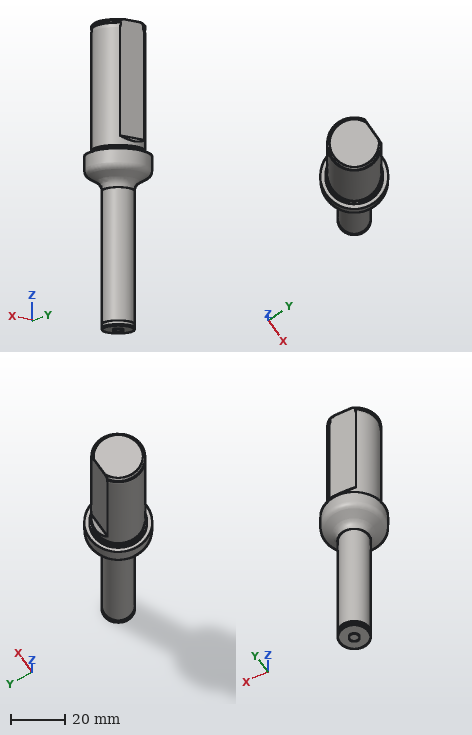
import cadquery as cq
import math

TOTAL_HEIGHT = 116.0
COLLAR_TOP = 66.0
CONE_START = 59.2
HOLDER_BOTTOM = 52.9

SHANK_RADIUS = 20.0 / 2
GROOVE_RADIUS = 19.5 / 2
TOP_FACE_RADIUS = 9.0
TOP_CHAMFER_HEIGHT = 0.8
GROOVE_TOP = 114.4
GROOVE_BOTTOM = 113.7
GROOVE_TAPER_END = 112.6
NECK_TAPER_TOP = 68.0
NECK_TAPER_BOTTOM = 67.3
FLAT_OFFSET = 8.2
FLAT_RUNOUT_BOTTOM = 69.8

COLLAR_RADIUS = 25.0 / 2
CONE_ANGLE = 31.0
COLLAR_ROUND = 2.7
ROOT_ROUND = 3.8
RELIEF_RADIUS = 10.7
RELIEF_DEPTH = 0.2

STEM_RADIUS = 12.2 / 2
SOCKET_TOP = 60.7
LIP_WALL = 0.06
TIP_RADIUS = 12.4 / 2
TIP_FACE_RADIUS = 12.0 / 2
TIP_BAND_TOP = 2.3
TIP_BAND_BOTTOM = 0.9
STEM_END = 0.3
NUB_RADIUS = 4.0 / 2


def turned(points):
    """Revolve a closed (radius, height) outline about the Z axis."""
    return cq.Workplane("XZ").polyline(points).close().revolve(360, (0, 0), (0, 1))


def rounded_at(body, height, radius):
    """Round the circular edge whose whole length lies at one height."""
    slack = 0.01
    box = cq.selectors.BoxSelector(
        (-TOTAL_HEIGHT, -TOTAL_HEIGHT, height - slack),
        (TOTAL_HEIGHT, TOTAL_HEIGHT, height + slack),
        boundingbox=True,
    )
    return body.edges(box).edges("%CIRCLE").fillet(radius)


def shank_flat():
    """Cutter for the flat on the +Y side, with a 45 degree run-out at its foot."""
    depth = SHANK_RADIUS - FLAT_OFFSET
    clear = SHANK_RADIUS + depth
    outline = [
        (FLAT_OFFSET, TOTAL_HEIGHT),
        (FLAT_OFFSET, FLAT_RUNOUT_BOTTOM + depth),
        (SHANK_RADIUS, FLAT_RUNOUT_BOTTOM),
        (clear, FLAT_RUNOUT_BOTTOM),
        (clear, TOTAL_HEIGHT),
    ]
    return cq.Workplane("YZ").polyline(outline).close().extrude(SHANK_RADIUS, both=True)


def make_holder():
    """Shank and collar, with a blind socket for the stem."""
    root_radius = STEM_RADIUS + LIP_WALL
    cone_end = CONE_START - (COLLAR_RADIUS - root_radius) * math.tan(math.radians(CONE_ANGLE))
    relief_floor = COLLAR_TOP - RELIEF_DEPTH
    body = turned([
        (0, TOTAL_HEIGHT),
        (TOP_FACE_RADIUS, TOTAL_HEIGHT),
        (SHANK_RADIUS, TOTAL_HEIGHT - TOP_CHAMFER_HEIGHT),
        (SHANK_RADIUS, GROOVE_TOP),
        (GROOVE_RADIUS, GROOVE_TOP),
        (GROOVE_RADIUS, GROOVE_BOTTOM),
        (SHANK_RADIUS, GROOVE_TAPER_END),
        (SHANK_RADIUS, NECK_TAPER_TOP),
        (GROOVE_RADIUS, NECK_TAPER_BOTTOM),
        (GROOVE_RADIUS, relief_floor),
        (RELIEF_RADIUS, relief_floor),
        (RELIEF_RADIUS, COLLAR_TOP),
        (COLLAR_RADIUS, COLLAR_TOP),
        (COLLAR_RADIUS, CONE_START),
        (root_radius, cone_end),
        (root_radius, HOLDER_BOTTOM),
        (0, HOLDER_BOTTOM),
    ])
    body = rounded_at(body, CONE_START, COLLAR_ROUND)
    body = rounded_at(body, cone_end, ROOT_ROUND)
    socket_depth = SOCKET_TOP - HOLDER_BOTTOM
    socket = cq.Workplane("XY").workplane(offset=HOLDER_BOTTOM).circle(STEM_RADIUS).extrude(socket_depth)
    return body.cut(socket).cut(shank_flat())


def make_stem():
    """Round stem with a slightly wider, chamfered tip and a small nub on its end."""
    return turned([
        (0, SOCKET_TOP),
        (STEM_RADIUS, SOCKET_TOP),
        (STEM_RADIUS, TIP_BAND_TOP),
        (TIP_RADIUS, TIP_BAND_TOP),
        (TIP_RADIUS, TIP_BAND_BOTTOM),
        (TIP_FACE_RADIUS, STEM_END),
        (NUB_RADIUS, STEM_END),
        (NUB_RADIUS, 0),
        (0, 0),
    ])


holder = make_holder()
stem = make_stem()

result = cq.Compound.makeCompound([holder.val(), stem.val()])